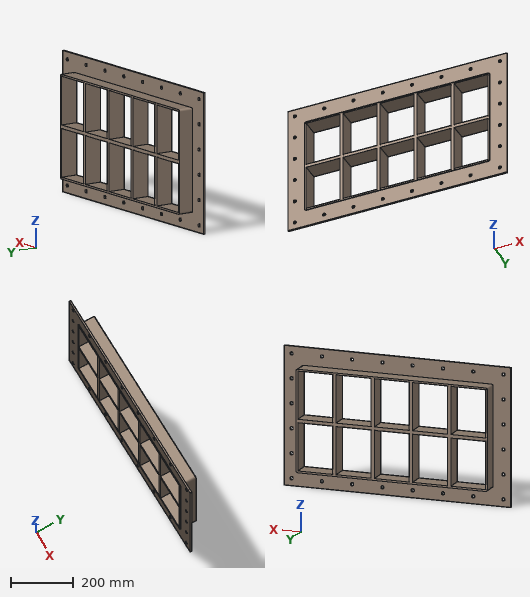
import cadquery as cq

flange_width = 774.5
flange_height = 463.0
flange_thickness = 6.0
hole_diameter = 10.0
hole_inset = 25.0
hole_columns = 8
hole_rows = 6

frame_width = 655.0
frame_height = 343.0
frame_depth = 60.0
frame_corner_radius = 7.0
frame_wall = 6.0
front_lip = 2.0

window_columns = 5
window_rows = 2
rib_thickness = 12.0


def block(width, depth, height):
    """Box centred in X and Z whose front face lies on Y = 0."""
    return cq.Workplane("XY").box(width, depth, height, centered=(True, False, True))


def opening_size(outer_size, count):
    """Clear size of one window along a row of equally spaced windows."""
    return (outer_size - 2 * frame_wall - (count - 1) * rib_thickness) / count


def make_flange():
    column_pitch = (flange_width - 2 * hole_inset) / (hole_columns - 1)
    row_pitch = (flange_height - 2 * hole_inset) / (hole_rows - 1)
    hole_centers = []
    for column in range(hole_columns):
        for row in range(hole_rows):
            on_side = column in (0, hole_columns - 1)
            on_end = row in (0, hole_rows - 1)
            if on_side or on_end:
                x = -flange_width / 2 + hole_inset + column * column_pitch
                z = -flange_height / 2 + hole_inset + row * row_pitch
                hole_centers.append((x, z))
    holes = (
        cq.Workplane("XZ")
        .pushPoints(hole_centers)
        .circle(hole_diameter / 2)
        .extrude(-flange_thickness)
    )
    return block(flange_width, flange_thickness, flange_height).cut(holes).translate((0, front_lip, 0))


def make_frame():
    return block(frame_width, frame_depth, frame_height).edges("|Y").fillet(frame_corner_radius)


def make_windows():
    window_width = opening_size(frame_width, window_columns)
    window_height = opening_size(frame_height, window_rows)
    return (
        cq.Workplane("XZ")
        .rarray(window_width + rib_thickness, window_height + rib_thickness, window_columns, window_rows)
        .rect(window_width, window_height)
        .extrude(-frame_depth)
    )


result = make_flange().union(make_frame()).cut(make_windows())